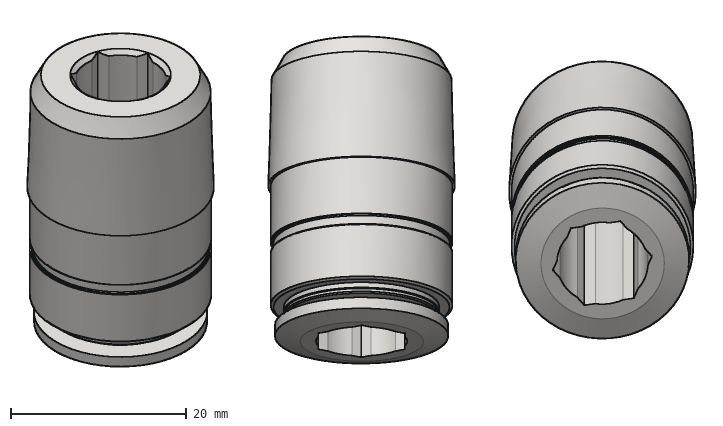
import cadquery as cq
import math

total_height = 33.7
body_radius = 20.8 / 2
body_bottom = 4.1
body_chamfer_height = 0.25
body_chamfer_width = 0.35

sleeve_bottom = 18.7
sleeve_bottom_radius = 21.35 / 2
sleeve_top = 31.48
sleeve_top_radius = 20.62 / 2
end_face_radius = 18.2 / 2

groove_bottom = 10.6
groove_top = 11.93
groove_radius = 20.2 / 2
groove_wall_height = 0.17
groove_mouth_radius = 20.4 / 2

ring_bottom = 2.85
ring_radius = 17.8 / 2
ring_chamfer = 0.17
seam_height = 3.45
seam_depth = 0.07

neck_radius = 14.1 / 2
neck_cone_top = 2.4
neck_foot_radius = 14.7 / 2
flange_top = 1.95
flange_radius = 19.8 / 2
flange_bevel_height = 0.65
bottom_face_radius = neck_radius

hex_across_flats = 9.9
hex_across_corners = hex_across_flats / math.cos(math.radians(30))
flat_relief_diameter = 10.4
mouth_radius = 11.53 / 2


def make_outer_body():
    """Revolve the half profile, listed from the bottom face upwards."""
    profile = [
        (0, 0),
        (bottom_face_radius, 0),
        (flange_radius, flange_bevel_height),
        (flange_radius, flange_top),
        (neck_foot_radius, flange_top),
        (neck_radius, neck_cone_top),
        (neck_radius, ring_bottom),
        (ring_radius - ring_chamfer, ring_bottom),
        (ring_radius, ring_bottom + ring_chamfer),
        (ring_radius, seam_height - seam_depth),
        (ring_radius - seam_depth, seam_height),
        (ring_radius, seam_height + seam_depth),
        (ring_radius, body_bottom),
        (body_radius - body_chamfer_width, body_bottom),
        (body_radius, body_bottom + body_chamfer_height),
        (body_radius, groove_bottom),
        (groove_mouth_radius, groove_bottom),
        (groove_radius, groove_bottom + groove_wall_height),
        (groove_radius, groove_top - groove_wall_height),
        (groove_mouth_radius, groove_top),
        (body_radius, groove_top),
        (body_radius, sleeve_bottom),
        (sleeve_bottom_radius, sleeve_bottom),
        (sleeve_top_radius, sleeve_top),
        (end_face_radius, total_height),
        (0, total_height),
    ]
    return cq.Workplane("XZ").polyline(profile).close().revolve(360, (0, 0), (0, 1))


def make_bore():
    """Hexagon with corners on the Y axis, joined with the round relief of its flats."""
    hexagon = (
        cq.Workplane("XY")
        .transformed(rotate=(0, 0, 30))
        .polygon(6, hex_across_corners)
        .extrude(total_height)
    )
    relief = cq.Workplane("XY").circle(flat_relief_diameter / 2).extrude(total_height)
    return hexagon.union(relief)


def make_mouth_countersink():
    """45 degree cone narrowing downwards from the end face."""
    cone = cq.Solid.makeCone(
        mouth_radius, 0, mouth_radius, cq.Vector(0, 0, total_height), cq.Vector(0, 0, -1)
    )
    return cq.Workplane(cone)


result = make_outer_body().cut(make_bore()).cut(make_mouth_countersink())